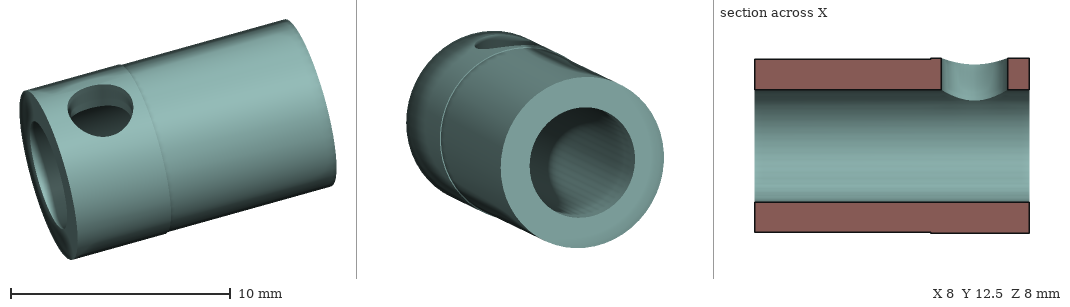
import cadquery as cq

total_length = 12.5
collar_length = 4.5
collar_diameter = 8.0
body_diameter = 7.9
bore_diameter = 5.1
screw_hole_diameter = 3.0
screw_hole_from_front = 2.5


def cylinder_along_y(diameter, start, length):
    """Solid cylinder on the Y axis, beginning at Y = start."""
    base = cq.Workplane("XZ", origin=(0, start, 0))
    return base.circle(diameter / 2).extrude(-length)


def make_sleeve():
    """Stepped sleeve: a slightly larger collar in front of the body, bored through."""
    collar = cylinder_along_y(collar_diameter, 0, collar_length)
    body = cylinder_along_y(body_diameter, collar_length, total_length - collar_length)
    bore = cylinder_along_y(bore_diameter, 0, total_length)
    return collar.union(body).cut(bore)


def make_screw_hole():
    """Radial hole from the axis up through the top wall of the collar only."""
    base = cq.Workplane("XY", origin=(0, screw_hole_from_front, 0))
    return base.circle(screw_hole_diameter / 2).extrude(collar_diameter)


result = make_sleeve().cut(make_screw_hole())